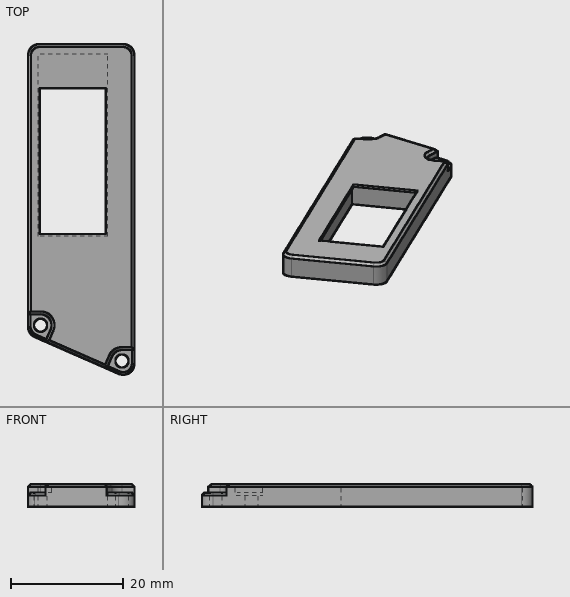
import cadquery as cq
import math

width = 19.0
length = 58.95
thickness = 4.05
corner_radius = 2.0
slant_angle = math.radians(23.7)
top_chamfer = 0.55

window_width = 11.75
window_length = 25.95
window_side_margin = 2.1
window_back_margin = 7.9

lip_thickness = 0.5
recess_clearance = 0.35
recess_back_wall = window_side_margin - recess_clearance

ear_height = 2.55
ear_chamfer = 0.5
hole_diameter = 2.3
hole_inset = 2.25
left_hole_height = 8.85
right_hole_height = 2.5
ear_radius = 1.95

right = width / 2
back = length / 2
left_hole = (-right + hole_inset, -back + left_hole_height)
right_hole = (right - hole_inset, -back + right_hole_height)

tip_overhang = corner_radius * (1 / math.cos(slant_angle) + math.tan(slant_angle) - 1)
slant_right_y = -back - tip_overhang
slant_left_y = slant_right_y + width * math.tan(slant_angle)


def plate(height):
    """Full outline with rounded corners, from Z = 0 up to height."""
    corners = [(-right, back), (right, back), (right, slant_right_y), (-right, slant_left_y)]
    return cq.Workplane("XY").polyline(corners).close().extrude(height).edges("|Z").fillet(corner_radius)


def ear_region(hole, side):
    """Column around a corner; side is -1 for the left ear and 1 for the right one.

    Its wall runs straight in from the side, rounds the hole, then meets the slanted edge squarely.
    """
    x, y = hole
    reach = 4 * ear_radius
    wall_end_angle = -slant_angle if side < 0 else math.pi - slant_angle
    mid_angle = (math.pi / 2 + wall_end_angle) / 2
    mid_point = (x + ear_radius * math.cos(mid_angle), y + ear_radius * math.sin(mid_angle))
    wall_end = (x + ear_radius * math.cos(wall_end_angle), y + ear_radius * math.sin(wall_end_angle))
    outside = (wall_end[0] - reach * math.sin(slant_angle), wall_end[1] - reach * math.cos(slant_angle))
    return (
        cq.Workplane("XY")
        .moveTo(x + side * reach, y + ear_radius)
        .lineTo(x, y + ear_radius)
        .threePointArc(mid_point, wall_end)
        .lineTo(*outside)
        .lineTo(x + side * reach, outside[1])
        .close()
        .extrude(thickness)
    )


ear_regions = ear_region(left_hole, -1).union(ear_region(right_hole, 1))
raised_plate = plate(thickness).cut(ear_regions).faces(">Z").edges().chamfer(top_chamfer)
ears = plate(ear_height).faces(">Z").edges().chamfer(ear_chamfer).intersect(ear_regions)
body = raised_plate.union(ears)

window_left = -right + window_side_margin
window_back = back - window_back_margin
window_front = window_back - window_length
window = cq.Workplane("XY").box(window_width, window_length, thickness, centered=False)
window = window.translate((window_left, window_front, 0))

recess_front = window_front - recess_clearance
recess_length = back - recess_back_wall - recess_front
recess_width = window_width + 2 * recess_clearance
recess = cq.Workplane("XY").box(recess_width, recess_length, thickness - lip_thickness, centered=False)
recess = recess.translate((window_left - recess_clearance, recess_front, 0))

holes = cq.Workplane("XY").pushPoints([left_hole, right_hole]).circle(hole_diameter / 2).extrude(thickness)

result = body.cut(window).cut(recess).cut(holes)